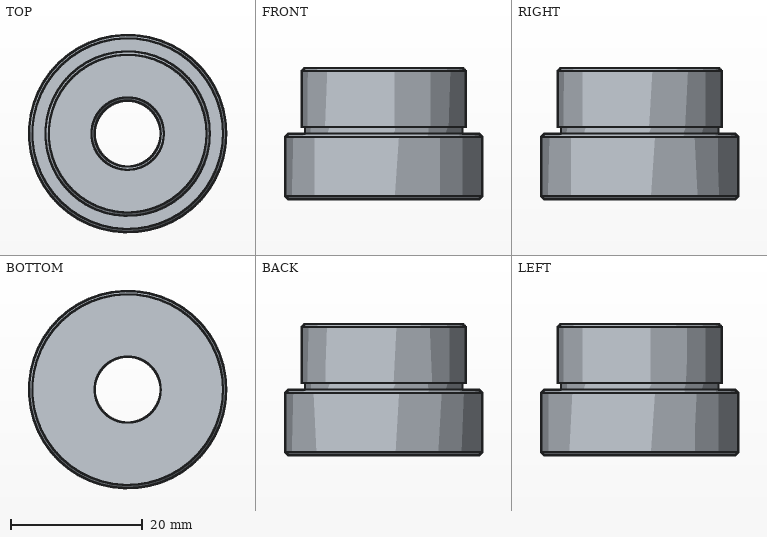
import cadquery as cq

flange_diameter = 30.0
total_height = 20.0
flange_height = 10.0
boss_diameter = 25.0
bore_diameter = 10.0
groove_height = 1.0
groove_depth = 0.5
edge_chamfer = 0.5

groove_diameter = boss_diameter - 2 * groove_depth
boss_base = flange_height + groove_height
boss_height = total_height - boss_base


def cylinder(diameter, base, height):
    """Solid cylinder on the Z axis, starting at height base."""
    return cq.Workplane("XY").workplane(offset=base).circle(diameter / 2).extrude(height)


flange = cylinder(flange_diameter, 0, flange_height).edges().chamfer(edge_chamfer)

groove_neck = cylinder(groove_diameter, flange_height, groove_height)

boss = cylinder(boss_diameter, boss_base, boss_height).faces(">Z").edges().chamfer(edge_chamfer)

bore = cylinder(bore_diameter, 0, total_height)
bore_mouth = (
    cq.Workplane("XY")
    .workplane(offset=total_height - edge_chamfer)
    .circle(bore_diameter / 2)
    .workplane(offset=edge_chamfer)
    .circle(bore_diameter / 2 + edge_chamfer)
    .loft()
)

result = flange.union(groove_neck).union(boss).cut(bore).cut(bore_mouth)